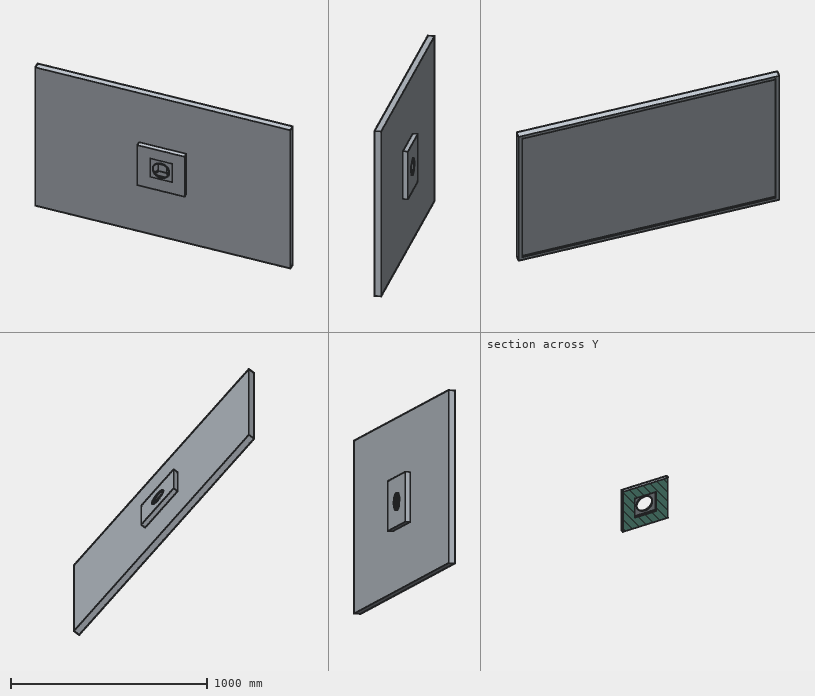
import cadquery as cq

panel_length = 1400
panel_height = 900
total_depth = 61
rim_width = 20
basin_depth = 10

housing_side = 260
housing_depth = 26
housing_wall = 6
opening_diameter = 90

grate_side = 120
grate_thickness = 4
frame_width = 6
rib_width = 6
hub_side = 47
pocket_depth = 1

panel_depth = total_depth - housing_depth
cavity_side = grate_side
pocket_field_side = grate_side - 2 * frame_width


def slab(width, height, y_start, y_end):
    """Rectangular slab centred on the Y axis, between two Y positions."""
    depth = y_end - y_start
    return cq.Workplane("XY").box(width, depth, height).translate((0, y_start + depth / 2, 0))


def make_panel():
    panel = slab(panel_length, panel_height, 0, panel_depth)
    basin = slab(
        panel_length - 2 * rim_width,
        panel_height - 2 * rim_width,
        panel_depth - basin_depth,
        panel_depth,
    )
    return panel.cut(basin)


def make_housing():
    housing = slab(housing_side, housing_side, -housing_depth, 0)
    cavity = slab(cavity_side, cavity_side, housing_wall - housing_depth, 0)
    opening = cq.Workplane("XZ").circle(opening_diameter / 2).extrude(housing_depth)
    return housing.cut(cavity).cut(opening)


def make_grate():
    """Square plate with four shallow pockets left between a frame, a hub and diagonal ribs."""
    front = -grate_thickness
    pocket_floor = front + pocket_depth
    pockets = slab(pocket_field_side, pocket_field_side, front, pocket_floor)
    pockets = pockets.cut(slab(hub_side, hub_side, front, pocket_floor))
    rib = slab(2 * pocket_field_side, rib_width, front, pocket_floor)
    for angle in (45, -45):
        pockets = pockets.cut(rib.rotate((0, 0, 0), (0, 1, 0), angle))
    return slab(grate_side, grate_side, front, 0).cut(pockets)


panel = make_panel()
housing = make_housing()
grate = make_grate()

result = cq.Compound.makeCompound([body.solids().val() for body in (panel, housing, grate)])